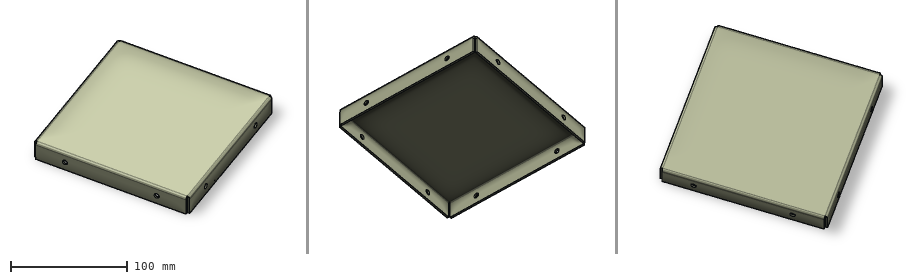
import cadquery as cq

side = 152.4
height = 19.0
thickness = 1.8
bend_radius = 2.5
inner_radius = bend_radius - thickness
panel_side = side - 2 * bend_radius

hole_diameter = 4.7
hole_height = 8.7
hole_spacing_front = 90.0
hole_spacing_side = 89.3


def make_channel():
    """Panel with two opposite bent flanges, extruded along Y."""
    outer = (
        cq.Workplane("XY")
        .box(side, panel_side, height, centered=(True, True, False))
        .edges("|Y and >Z")
        .fillet(bend_radius)
    )
    inner = (
        cq.Workplane("XY")
        .box(side - 2 * thickness, panel_side, height - thickness, centered=(True, True, False))
        .edges("|Y and >Z")
        .fillet(inner_radius)
    )
    return outer.cut(inner)


def make_hole_pair(plane, spacing):
    """Two cylinders that pass through both opposite flanges."""
    half_spacing = spacing / 2
    return (
        cq.Workplane(plane)
        .pushPoints([(-half_spacing, hole_height), (half_spacing, hole_height)])
        .circle(hole_diameter / 2)
        .extrude(side, both=True)
    )


side_flanges = make_channel()
front_flanges = make_channel().rotate((0, 0, 0), (0, 0, 1), 90)

result = (
    side_flanges.union(front_flanges)
    .cut(make_hole_pair("XZ", hole_spacing_front))
    .cut(make_hole_pair("YZ", hole_spacing_side))
    .clean()
)